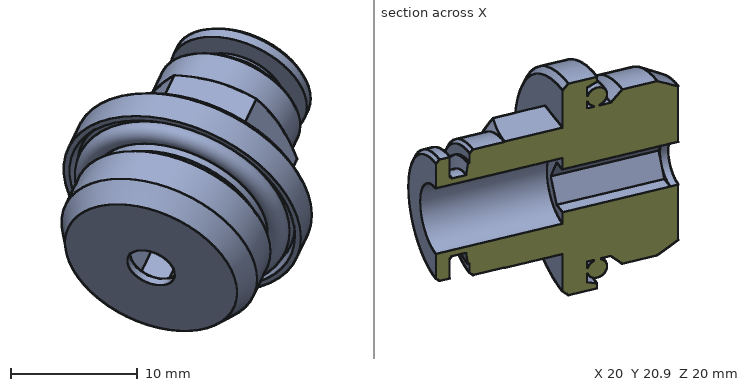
import cadquery as cq
import math

length = 20.9
end_chamfer_length = 1.84
thread_end = 4.85
neck_start = 5.83
flange_front = 7.0
flange_back = 10.0
hex_end = 15.0
body_end = 18.0
sleeve_lip_end = 18.15
sleeve_end = 18.29
ring_front = 19.69

thread_diameter = 16.5
neck_diameter = 14.5
flange_diameter = 20.0
flange_chamfer = 0.5
body_diameter = 11.9
body_chamfer = 0.3
sleeve_diameter = 9.55
sleeve_top_diameter = 7.6
stem_diameter = 7.38
stem_flare = 0.19
ring_diameter = 11.5
ring_chamfer = 0.31

hex_across_flats = 11.95
hex_corner_diameter = hex_across_flats / math.cos(math.pi / 6)
hex_chamfer_angle = math.radians(30)

groove_mouth_diameter = 19.0
groove_floor_diameter = 18.3
groove_depth = 0.85
seal_section_radius = 0.88
seal_inset = 0.85
seal_center_radius = neck_diameter / 2 + seal_inset

mouth_diameter = 4.0
mouth_depth = 0.71
socket_across_flats = 4.0
socket_end = flange_back
bore_diameter = 6.15


def revolve_profile(points):
    """Revolve a closed (radius, Y) outline about the Y axis."""
    return cq.Workplane("XY").polyline(points).close().revolve(360, (0, 0, 0), (0, 1, 0))


def cylinder(diameter, start, end):
    return revolve_profile([(0, start), (diameter / 2, start), (diameter / 2, end), (0, end)])


def hex_prism(across_flats, start, end):
    """Hexagonal prism along Y with corners along X."""
    corner_diameter = across_flats / math.cos(math.pi / 6)
    plane = cq.Workplane("XZ", origin=(0, start, 0))
    return plane.polygon(6, corner_diameter).extrude(start - end)


def threaded_end_and_flange():
    neck_radius = neck_diameter / 2
    thread_radius = thread_diameter / 2
    flange_radius = flange_diameter / 2
    groove_floor = flange_front + groove_depth
    return revolve_profile([
        (0, 0),
        (neck_radius, 0),
        (thread_radius, end_chamfer_length),
        (thread_radius, thread_end),
        (neck_radius, neck_start),
        (neck_radius, groove_floor),
        (groove_floor_diameter / 2, groove_floor),
        (groove_mouth_diameter / 2, flange_front),
        (flange_radius, flange_front),
        (flange_radius, flange_back - flange_chamfer),
        (flange_radius - flange_chamfer, flange_back),
        (0, flange_back),
    ])


def seal_ring():
    section = cq.Workplane("XY").center(seal_center_radius, flange_front).circle(seal_section_radius)
    return section.revolve(360, (-seal_center_radius, 0, 0), (-seal_center_radius, 1, 0))


def wrench_hex():
    corner_radius = hex_corner_diameter / 2
    body_radius = body_diameter / 2
    chamfer_length = (corner_radius - body_radius) * math.tan(hex_chamfer_angle)
    envelope = revolve_profile([
        (0, flange_back),
        (corner_radius, flange_back),
        (corner_radius, hex_end - chamfer_length),
        (body_radius, hex_end),
        (0, hex_end),
    ])
    return hex_prism(hex_across_flats, flange_back, hex_end).intersect(envelope)


def body_and_release_ring():
    body_radius = body_diameter / 2
    stem_radius = stem_diameter / 2
    ring_radius = ring_diameter / 2
    return revolve_profile([
        (0, hex_end),
        (body_radius, hex_end),
        (body_radius, body_end - body_chamfer),
        (body_radius - body_chamfer, body_end),
        (sleeve_diameter / 2, body_end),
        (sleeve_diameter / 2, sleeve_lip_end),
        (sleeve_top_diameter / 2, sleeve_end),
        (stem_radius, sleeve_end),
        (stem_radius, ring_front - stem_flare),
        (stem_radius + stem_flare, ring_front),
        (ring_radius, ring_front),
        (ring_radius, length - ring_chamfer),
        (ring_radius - ring_chamfer, length),
        (0, length),
    ])


def passage():
    mouth = cylinder(mouth_diameter, 0, mouth_depth)
    socket = hex_prism(socket_across_flats, mouth_depth, socket_end)
    bore = cylinder(bore_diameter, socket_end, length)
    return mouth.union(socket).union(bore)


outer_body = threaded_end_and_flange().union(wrench_hex()).union(body_and_release_ring())
result = outer_body.union(seal_ring()).cut(passage())